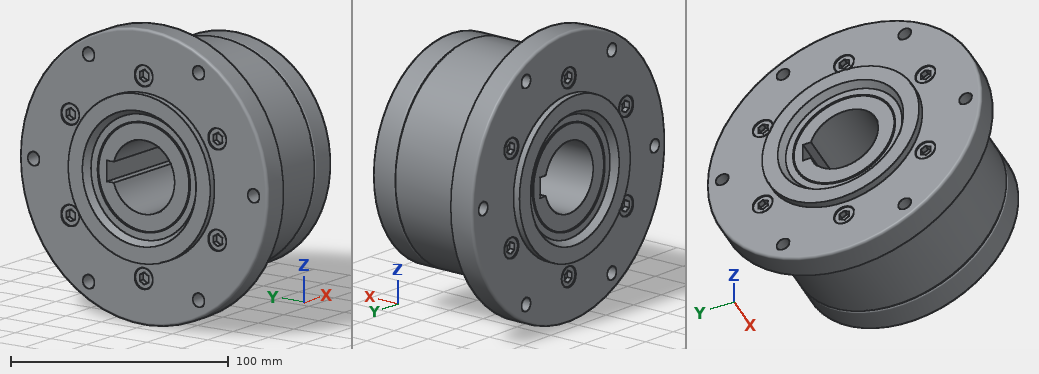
import cadquery as cq
import math

flange_front = 3.5
flange_back = 17.0
cover_seam = 62.0
cover_end = 75.0
hub_end = 76.0

pilot_radius = 40.0
flange_radius = 70.0
body_radius = 55.0
hub_radius = 26.3
bore_radius = 17.5

flange_fillet = 1.4
seam_fillet = 1.0
cover_end_fillet = 1.4

recess_depth = flange_front
recess_mouth_radius = 32.0
recess_floor_radius = 29.7

groove_radius = 26.0
groove_width = 0.4
groove_depth = 0.4

key_width = 10.0
key_reach = 20.9

hole_count = 6
hole_circle_radius = 62.0
hole_diameter = 6.6
first_hole_angle = 0

screw_count = 6
screw_circle_radius = 47.9
first_screw_angle = 90
counterbore_diameter = 10.2
counterbore_depth = 6.0
head_diameter = 9.8
head_recess = 0.4
socket_flats = 5.0
socket_depth = 2.8


def disc_along_x(start, end, radius):
    """Solid cylinder on the X axis between two stations."""
    return cq.Workplane("YZ", origin=(start, 0, 0)).circle(radius).extrude(end - start)


def ring_points(count, radius, first_angle):
    """Evenly spaced (Y, Z) points on a circle, with angles measured from +Y towards +Z."""
    points = []
    for i in range(count):
        angle = math.radians(first_angle + i * 360 / count)
        points.append((radius * math.cos(angle), radius * math.sin(angle)))
    return points


def housing():
    """Pilot boss, flange, body and end cover, with rounded rims."""
    pilot = disc_along_x(0, flange_back, pilot_radius)
    flange = disc_along_x(flange_front, flange_back, flange_radius).edges().fillet(flange_fillet)
    body = disc_along_x(flange_back, cover_seam, body_radius).edges().fillet(seam_fillet)
    cover = disc_along_x(cover_seam, cover_end, body_radius)
    cover = cover.edges("<X").fillet(seam_fillet)
    cover = cover.edges(">X").fillet(cover_end_fillet)
    return pilot.union(flange).union(body).union(cover)


def hub():
    """Hub core running from the recess floor out past the end cover."""
    return disc_along_x(recess_depth, hub_end, hub_radius)


def recess():
    """Recess that narrows from the pilot face to its floor."""
    profile = [
        (0, 0),
        (0, recess_mouth_radius),
        (recess_depth, recess_floor_radius),
        (recess_depth, 0),
    ]
    return cq.Workplane("XY").polyline(profile).close().revolve(360, (0, 0), (1, 0))


def hub_groove():
    """Ring groove that parts the hub face from the surrounding recess floor."""
    groove_end = recess_depth + groove_depth
    outer = disc_along_x(recess_depth, groove_end, groove_radius)
    inner = disc_along_x(recess_depth, groove_end, groove_radius - groove_width)
    return outer.cut(inner)


def keyed_bore():
    """Through bore with its keyway."""
    round_bore = disc_along_x(0, hub_end, bore_radius)
    keyway = cq.Workplane("XY").box(hub_end, key_reach, key_width, centered=(False, False, True))
    return round_bore.union(keyway)


def mounting_holes():
    """Plain holes through the flange."""
    plane = cq.Workplane("YZ", origin=(flange_front, 0, 0))
    centers = ring_points(hole_count, hole_circle_radius, first_hole_angle)
    return plane.pushPoints(centers).circle(hole_diameter / 2).extrude(flange_back - flange_front)


def screw_cut():
    """Space around one screw head: counterbore less the head, plus the hexagon socket."""
    head_start = flange_front + head_recess
    counterbore_end = flange_front + counterbore_depth
    counterbore = disc_along_x(flange_front, counterbore_end, counterbore_diameter / 2)
    head = disc_along_x(head_start, counterbore_end, head_diameter / 2)

    corner_radius = socket_flats / 2 / math.cos(math.pi / 6)
    corners = ring_points(6, corner_radius, 90)
    socket = cq.Workplane("YZ", origin=(head_start, 0, 0)).polyline(corners).close().extrude(socket_depth)
    return counterbore.cut(head.cut(socket))


result = housing().union(hub())
result = result.cut(recess()).cut(hub_groove()).cut(keyed_bore()).cut(mounting_holes())

one_screw_cut = screw_cut()
for y, z in ring_points(screw_count, screw_circle_radius, first_screw_angle):
    result = result.cut(one_screw_cut.translate((0, y, z)))